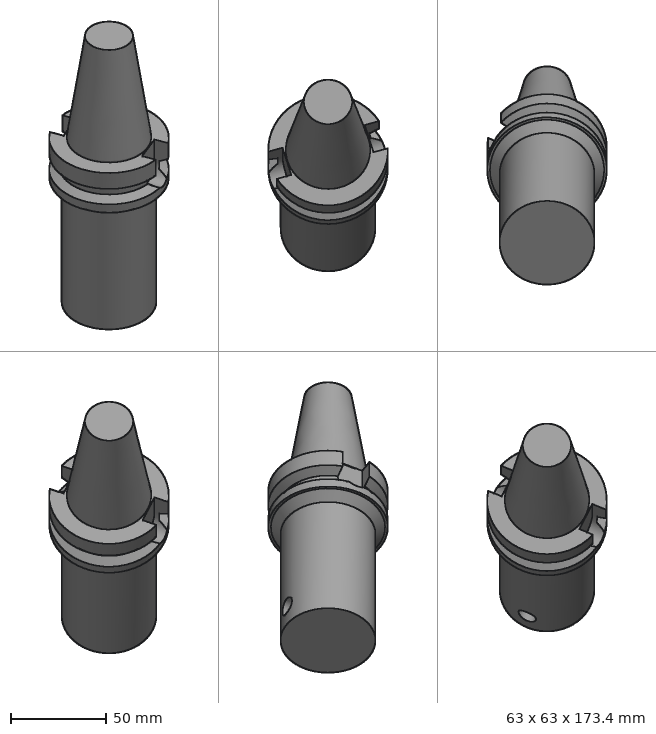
import cadquery as cq

total_height = 173.4
gauge_z = 108.0
flange_top_z = 107.0
groove_upper_edge_z = 96.5
groove_floor_top_z = 93.6
groove_floor_bottom_z = 89.3
groove_lower_edge_z = 86.5
flange_bottom_z = 81.2

body_radius = 50.0 / 2
flange_radius = 63.0 / 2
gauge_radius = 44.4 / 2
groove_radius = 26.5
collar_radius = 30.0

taper_ratio = 7 / 24
tip_radius = gauge_radius - (total_height - gauge_z) * taper_ratio / 2
body_top_z = flange_bottom_z - (collar_radius - body_radius)

slot_width = 16.1
slot_bottom_z = 85.1
slot_floor_distance = 22.5

screw_hole_diameter = 10.2
screw_hole_z = 13.4
screw_hole_depth = 11.1


def make_holder_body():
    """Nose, grooved flange and taper, revolved about Z."""
    profile = [
        (0, 0),
        (body_radius, 0),
        (body_radius, body_top_z),
        (collar_radius, flange_bottom_z),
        (flange_radius, flange_bottom_z),
        (flange_radius, groove_lower_edge_z),
        (groove_radius, groove_floor_bottom_z),
        (groove_radius, groove_floor_top_z),
        (flange_radius, groove_upper_edge_z),
        (flange_radius, flange_top_z),
        (gauge_radius, flange_top_z),
        (gauge_radius, gauge_z),
        (tip_radius, total_height),
        (0, total_height),
    ]
    return cq.Workplane("XZ").polyline(profile).close().revolve(360, (0, 0), (0, 1))


def make_drive_slot(side):
    """Round-bottomed slot cutter, open at the flange top; side is +1 or -1 along X."""
    half_width = slot_width / 2
    arc_center_z = slot_bottom_z + half_width
    return (
        cq.Workplane("YZ", origin=(side * slot_floor_distance, 0, 0))
        .moveTo(-half_width, flange_top_z)
        .lineTo(-half_width, arc_center_z)
        .threePointArc((0, slot_bottom_z), (half_width, arc_center_z))
        .lineTo(half_width, flange_top_z)
        .close()
        .extrude(side * flange_radius)
    )


def make_screw_hole():
    """Radial hole cutter running inward from the +Y side."""
    return (
        cq.Workplane("XZ", origin=(0, body_radius, screw_hole_z))
        .circle(screw_hole_diameter / 2)
        .extrude(screw_hole_depth)
    )


result = make_holder_body()
for side in (1, -1):
    result = result.cut(make_drive_slot(side))
result = result.cut(make_screw_hole())